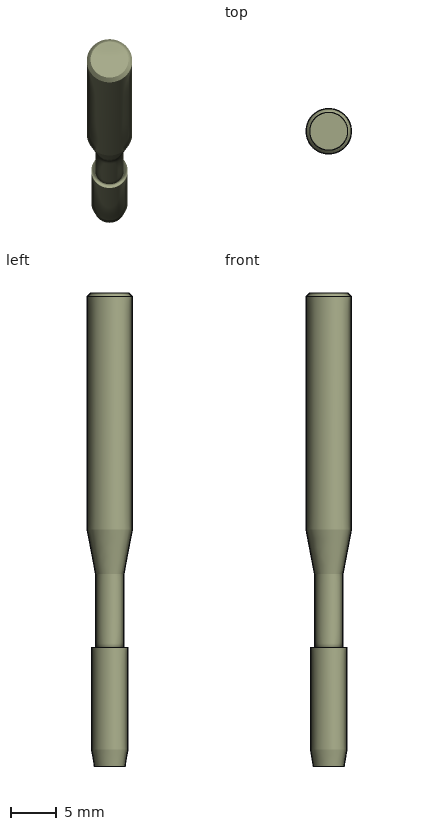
import cadquery as cq

total_length = 52.0
cutter_length = 13.1
tip_length = 1.85
neck_top_z = 21.1
shank_start_z = 26.0

shank_diameter = 5.0
neck_diameter = 3.1
cutter_diameter = 4.0
tip_diameter = 3.4

shank_chamfer = 0.4


def make_cutter():
    """Cylindrical cutting head with a tapered tip at its lower end."""
    tip_radius = tip_diameter / 2
    cutter_radius = cutter_diameter / 2
    return (
        cq.Workplane("XZ")
        .moveTo(0, 0)
        .lineTo(tip_radius, 0)
        .lineTo(cutter_radius, tip_length)
        .lineTo(cutter_radius, cutter_length)
        .lineTo(0, cutter_length)
        .close()
        .revolve(360, (0, 0), (0, 1))
    )


def make_shank():
    """Slim neck flaring into a straight shank with a chamfered top end."""
    neck_radius = neck_diameter / 2
    shank_radius = shank_diameter / 2
    return (
        cq.Workplane("XZ")
        .moveTo(0, cutter_length)
        .lineTo(neck_radius, cutter_length)
        .lineTo(neck_radius, neck_top_z)
        .lineTo(shank_radius, shank_start_z)
        .lineTo(shank_radius, total_length - shank_chamfer)
        .lineTo(shank_radius - shank_chamfer, total_length)
        .lineTo(0, total_length)
        .close()
        .revolve(360, (0, 0), (0, 1))
    )


cutter = make_cutter()
shank = make_shank()

result = cq.Compound.makeCompound([cutter.val(), shank.val()])